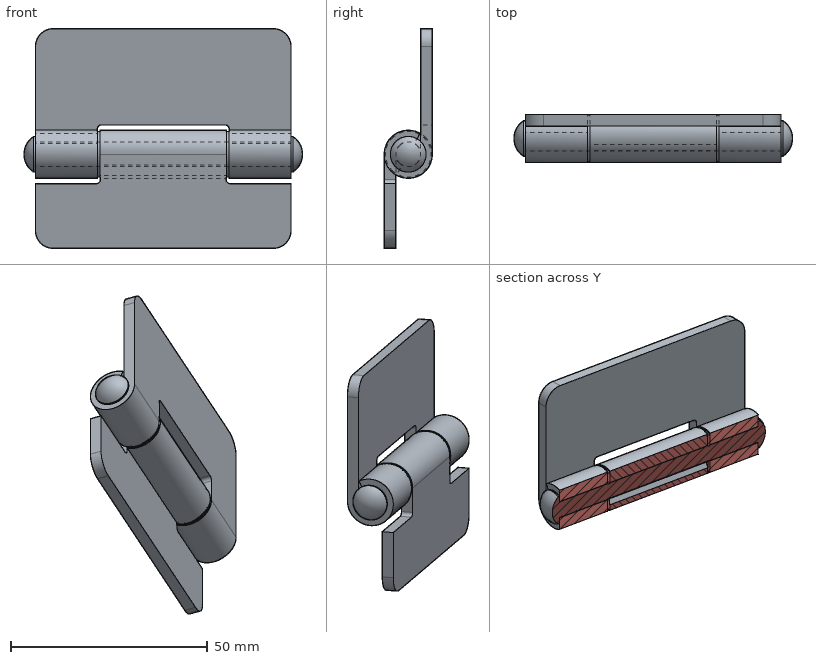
import cadquery as cq
import math

TOTAL_LENGTH = 71.0
LEAF_WIDTH = 65.2
LEAF_THICKNESS = 3.0
BARREL_RADIUS = 6.14
UPPER_LEAF_HEIGHT = 32.0
LOWER_LEAF_HEIGHT = 24.0
CORNER_RADIUS = 4.6
MIDDLE_KNUCKLE_LENGTH = 32.1
WASHER_THICKNESS = 0.7
WASHER_RADIUS = 5.8
NOTCH_HEIGHT = 7.45
NOTCH_FILLET = 1.0
CURL_END_ANGLE = 60.5
HEAD_RADIUS = 4.55
HEAD_RIM = 0.4

BORE_RADIUS = BARREL_RADIUS - LEAF_THICKNESS
HALF_WIDTH = LEAF_WIDTH / 2
HALF_KNUCKLE = MIDDLE_KNUCKLE_LENGTH / 2
SIDE_KNUCKLE_START = HALF_KNUCKLE + WASHER_THICKNESS
DOME_BASE = HALF_WIDTH + HEAD_RIM
DOME_HEIGHT = TOTAL_LENGTH / 2 - DOME_BASE
DOME_SPHERE_RADIUS = (HEAD_RADIUS**2 + DOME_HEIGHT**2) / (2 * DOME_HEIGHT)


def box_between(x_range, y_range, z_range):
    sizes = [high - low for low, high in (x_range, y_range, z_range)]
    return (
        cq.Workplane("XY")
        .box(*sizes, centered=False)
        .translate((x_range[0], y_range[0], z_range[0]))
    )


def polar(radius, degrees):
    """Point in the YZ plane, with the angle measured from +Y towards +Z."""
    angle = math.radians(degrees)
    return (radius * math.cos(angle), radius * math.sin(angle))


def knuckle(x_start, x_end):
    """Rolled barrel that leaves the plate at +Y, passes below and ends above the axis."""
    middle_angle = (CURL_END_ANGLE - 360) / 2
    return (
        cq.Workplane("YZ", origin=(x_start, 0, 0))
        .moveTo(BARREL_RADIUS, 0)
        .threePointArc(polar(BARREL_RADIUS, middle_angle), polar(BARREL_RADIUS, CURL_END_ANGLE))
        .lineTo(*polar(BORE_RADIUS, CURL_END_ANGLE))
        .threePointArc(polar(BORE_RADIUS, middle_angle), (BORE_RADIUS, 0))
        .close()
        .extrude(x_end - x_start)
    )


def leaf(height, knuckle_spans, notch_spans):
    """Plate rising from the hinge axis on the +Y side, with its rolled knuckles."""
    plate_depth = (BORE_RADIUS, BARREL_RADIUS)
    body = box_between((-HALF_WIDTH, HALF_WIDTH), plate_depth, (0, height))
    body = body.edges("|Y and >Z").fillet(CORNER_RADIUS)
    for x_start, x_end in notch_spans:
        notch = box_between((x_start, x_end), plate_depth, (0, NOTCH_HEIGHT))
        body = body.cut(notch.edges("|Y and >Z").fillet(NOTCH_FILLET))
    for x_start, x_end in knuckle_spans:
        body = body.union(knuckle(x_start, x_end))
    return body


def washer(x_start):
    return (
        cq.Workplane("YZ", origin=(x_start, 0, 0))
        .circle(WASHER_RADIUS)
        .circle(BORE_RADIUS)
        .extrude(WASHER_THICKNESS)
    )


def pin():
    """Shaft filling the bore, with a domed head against each end of the barrel."""
    dome_centre = TOTAL_LENGTH / 2 - DOME_SPHERE_RADIUS
    half_slope = math.asin(HEAD_RADIUS / DOME_SPHERE_RADIUS) / 2
    dome_middle = (
        dome_centre + DOME_SPHERE_RADIUS * math.cos(half_slope),
        DOME_SPHERE_RADIUS * math.sin(half_slope),
    )
    half_pin = (
        cq.Workplane("XY")
        .lineTo(0, BORE_RADIUS)
        .lineTo(HALF_WIDTH, BORE_RADIUS)
        .lineTo(HALF_WIDTH, HEAD_RADIUS)
        .lineTo(DOME_BASE, HEAD_RADIUS)
        .threePointArc(dome_middle, (TOTAL_LENGTH / 2, 0))
        .close()
        .revolve(360, (0, 0, 0), (1, 0, 0))
    )
    return half_pin.union(half_pin.mirror("YZ"))


upper_leaf = leaf(
    UPPER_LEAF_HEIGHT,
    knuckle_spans=[(-HALF_WIDTH, -SIDE_KNUCKLE_START), (SIDE_KNUCKLE_START, HALF_WIDTH)],
    notch_spans=[(-SIDE_KNUCKLE_START, SIDE_KNUCKLE_START)],
)

notch_end = HALF_WIDTH + 2 * NOTCH_FILLET
lower_leaf = leaf(
    LOWER_LEAF_HEIGHT,
    knuckle_spans=[(-HALF_KNUCKLE, HALF_KNUCKLE)],
    notch_spans=[(-notch_end, -HALF_KNUCKLE), (HALF_KNUCKLE, notch_end)],
).rotate((0, 0, 0), (1, 0, 0), 180)

hinge_pin = pin()

washers = [washer(x_start) for x_start in (-SIDE_KNUCKLE_START, HALF_KNUCKLE)]

result = cq.Compound.makeCompound(
    [upper_leaf.val(), lower_leaf.val(), hinge_pin.val(), *[ring.val() for ring in washers]]
)